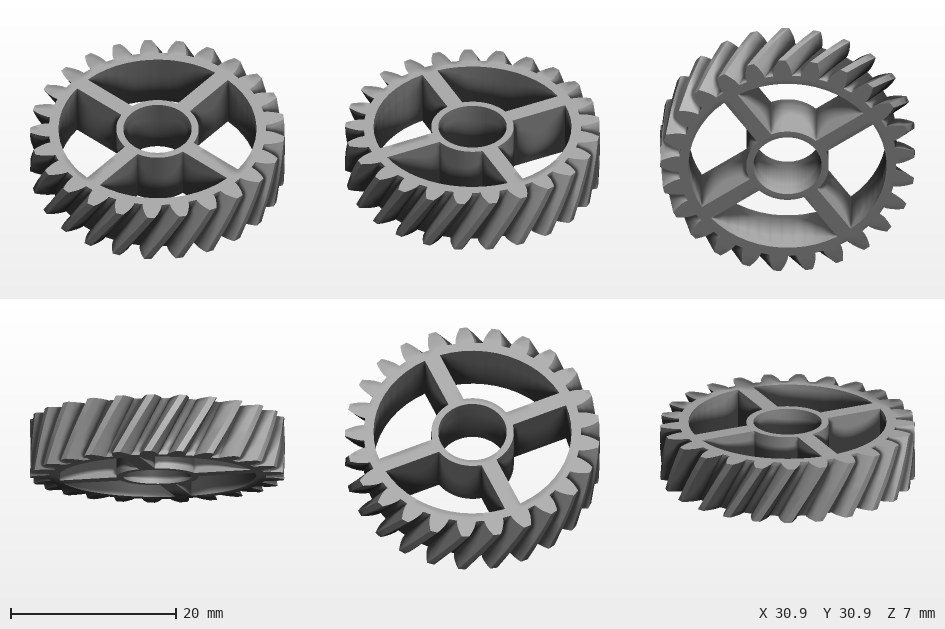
import cadquery as cq
import math

TEETH = 25
NORMAL_MODULE = 1.0
NORMAL_PRESSURE_ANGLE = math.radians(20)
HELIX_ANGLE = math.radians(30)
ADDENDUM = 1.0 * NORMAL_MODULE
DEDENDUM = 1.25 * NORMAL_MODULE
WIDTH = 7.0

BORE_DIAMETER = 8.3
HUB_DIAMETER = 10.0
RIM_INNER_DIAMETER = 24.0
SPOKE_WIDTH = 2.0

PITCH_RADIUS = TEETH * NORMAL_MODULE / math.cos(HELIX_ANGLE) / 2
PRESSURE_ANGLE = math.atan(math.tan(NORMAL_PRESSURE_ANGLE) / math.cos(HELIX_ANGLE))
BASE_RADIUS = PITCH_RADIUS * math.cos(PRESSURE_ANGLE)
TIP_RADIUS = PITCH_RADIUS + ADDENDUM
ROOT_RADIUS = PITCH_RADIUS - DEDENDUM
TOOTH_PITCH = 2 * math.pi / TEETH
TWIST = math.degrees(WIDTH * math.tan(HELIX_ANGLE) / PITCH_RADIUS)

FIRST_TOOTH_ANGLE = math.pi / 2
FLANK_POINTS = 6


def polar(radius, angle):
    return (radius * math.cos(angle), radius * math.sin(angle))


def involute(pressure_angle):
    return math.tan(pressure_angle) - pressure_angle


def half_tooth_angle(radius):
    """Angle from the tooth centre line to its involute flank at a given radius."""
    local_pressure_angle = math.acos(BASE_RADIUS / radius)
    return TOOTH_PITCH / 4 + involute(PRESSURE_ANGLE) - involute(local_pressure_angle)


def gear_outline():
    """Closed outline: radial root flanks, involute flanks, tip arcs and root arcs."""
    base_half = half_tooth_angle(BASE_RADIUS)
    tip_half = half_tooth_angle(TIP_RADIUS)
    radius_step = (TIP_RADIUS - BASE_RADIUS) / (FLANK_POINTS - 1)
    flank_radii = [BASE_RADIUS + i * radius_step for i in range(FLANK_POINTS)]

    outline = cq.Workplane("XY").moveTo(*polar(ROOT_RADIUS, FIRST_TOOTH_ANGLE - base_half))
    for tooth in range(TEETH):
        centre = FIRST_TOOTH_ANGLE + tooth * TOOTH_PITCH
        rising = [polar(r, centre - half_tooth_angle(r)) for r in flank_radii]
        falling = [polar(r, centre + half_tooth_angle(r)) for r in reversed(flank_radii)]
        gap_centre = centre + TOOTH_PITCH / 2
        next_root = polar(ROOT_RADIUS, centre + TOOTH_PITCH - base_half)

        outline = outline.lineTo(*rising[0])
        outline = outline.spline(rising[1:], includeCurrent=True)
        outline = outline.threePointArc(polar(TIP_RADIUS, centre), polar(TIP_RADIUS, centre + tip_half))
        outline = outline.spline(falling[1:], includeCurrent=True)
        outline = outline.lineTo(*polar(ROOT_RADIUS, centre + base_half))
        outline = outline.threePointArc(polar(ROOT_RADIUS, gap_centre), next_root)
    return outline.close()


def window_cutter():
    """Ring between hub and rim, less the two bars that form the four spokes."""
    ring = cq.Workplane("XY").circle(RIM_INNER_DIAMETER / 2).circle(HUB_DIAMETER / 2).extrude(WIDTH)
    for length_x, length_y in ((RIM_INNER_DIAMETER, SPOKE_WIDTH), (SPOKE_WIDTH, RIM_INNER_DIAMETER)):
        bar = cq.Workplane("XY").rect(length_x, length_y).extrude(WIDTH)
        ring = ring.cut(bar)
    return ring


def bore_cutter():
    return cq.Workplane("XY").circle(BORE_DIAMETER / 2).extrude(WIDTH)


toothed_blank = gear_outline().twistExtrude(WIDTH, TWIST)
result = toothed_blank.cut(window_cutter()).cut(bore_cutter())